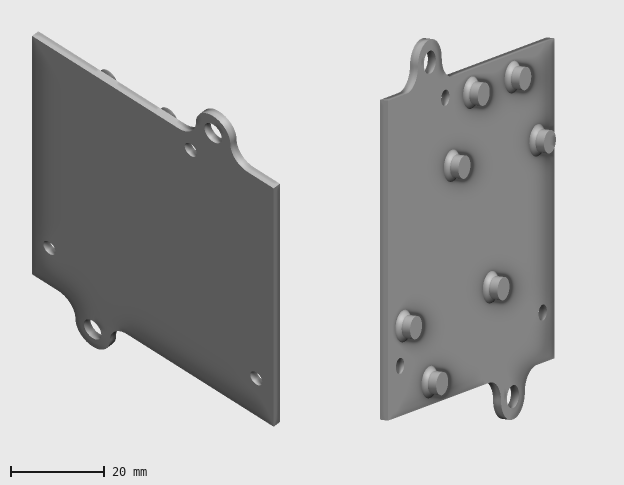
import cadquery as cq

overall_height = 90.0
plate_side = 70.0
plate_thickness = 2.0
overall_depth = 5.0

lug_radius = (overall_height - plate_side) / 4
lug_hole_diameter = 5.0
lug_offset_x = 17.5
lug_center_z = plate_side / 2 + lug_radius

screw_hole_diameter = 3.5
screw_hole_edge_x = plate_side / 2 - 5.0
screw_hole_low_z = -plate_side / 2 + 11.0
screw_hole_positions = [
    (-screw_hole_edge_x, screw_hole_low_z),
    (screw_hole_edge_x, screw_hole_low_z),
    (11.0, plate_side / 2 - 4.05),
]

pin_diameter = 5.0
pin_flare = 1.0
pin_outer_x = 17.5
pin_outer_z = 30.0
pin_positions = [
    (-pin_outer_x, pin_outer_z),
    (0, pin_outer_z),
    (-27.8, 14.1),
    (8.1, 15.6),
    (-8.3, -14.2),
    (28.4, -15.6),
    (pin_outer_x, -pin_outer_z),
]


def upright_workplane(y):
    """XZ workplane at depth y; its local axes are X and Z, and it extrudes toward -Y."""
    return cq.Workplane("XZ", origin=(0, y, 0))


def cylinders(positions, diameter, y_start, y_end):
    """Round bars along Y from y_start to y_end, one at each (x, z) position."""
    return upright_workplane(y_end).pushPoints(positions).circle(diameter / 2).extrude(y_end - y_start)


def make_lug():
    """Upper lug: flared foot on the plate edge, rounded ear on top."""
    edge_z = plate_side / 2
    flare_reach = 2 * lug_radius
    diagonal = lug_radius * 0.5 ** 0.5
    left_flare_mid = (lug_offset_x - flare_reach + diagonal, lug_center_z - diagonal)
    right_flare_mid = (lug_offset_x + flare_reach - diagonal, lug_center_z - diagonal)
    return (
        upright_workplane(plate_thickness)
        .moveTo(lug_offset_x - flare_reach, edge_z)
        .threePointArc(left_flare_mid, (lug_offset_x - lug_radius, lug_center_z))
        .threePointArc(
            (lug_offset_x, lug_center_z + lug_radius),
            (lug_offset_x + lug_radius, lug_center_z),
        )
        .threePointArc(right_flare_mid, (lug_offset_x + flare_reach, edge_z))
        .close()
        .extrude(plate_thickness)
    )


upper_lug = make_lug()
lower_lug = upper_lug.rotate((0, 0, 0), (0, 1, 0), 180)
plate = upright_workplane(plate_thickness).rect(plate_side, plate_side).extrude(plate_thickness)
plate = plate.union(upper_lug).union(lower_lug)

plate = plate.union(cylinders(pin_positions, pin_diameter, 0, overall_depth))
root_margin = 0.1
pin_root_edges = cq.selectors.BoxSelector(
    (-plate_side / 2, plate_thickness - root_margin, -plate_side / 2),
    (plate_side / 2, plate_thickness + root_margin, plate_side / 2),
)
plate = plate.edges("%CIRCLE").edges(pin_root_edges).chamfer(pin_flare)

lug_hole_positions = [(lug_offset_x, lug_center_z), (-lug_offset_x, -lug_center_z)]
lug_holes = cylinders(lug_hole_positions, lug_hole_diameter, 0, plate_thickness)
screw_holes = cylinders(screw_hole_positions, screw_hole_diameter, 0, plate_thickness)
result = plate.cut(lug_holes).cut(screw_holes)